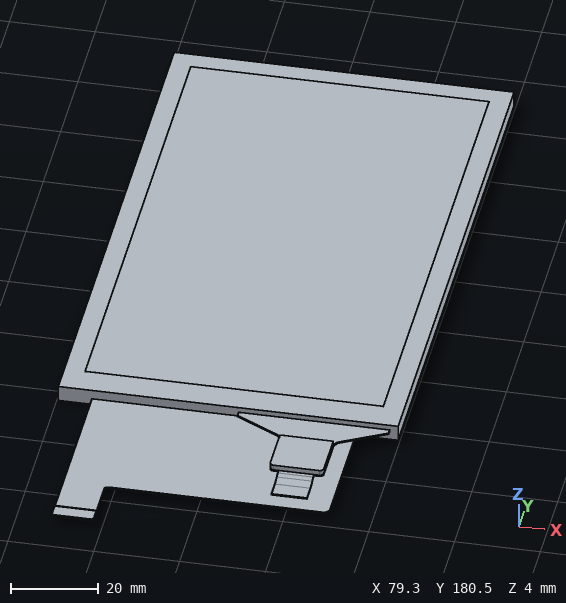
import cadquery as cq


frame_width = 79.3
frame_length = 134.0
frame_height = 4.0
side_border = 4.9
back_border = 4.9
front_border = 7.0
screen_depth = 0.9
screen_width = frame_width - 2 * side_border
screen_length = frame_length - front_border - back_border

overall_length = 180.5
main_left = -31.8
main_right = 30.2
main_bottom = 1.3
main_thickness = 0.4
main_top = main_bottom + main_thickness
main_reach = 33.2
main_corner_radius = 1.5
tab_width = 9.7
tab_right = main_left + tab_width
tab_reach = overall_length - frame_length
tab_inner_radius = 0.9
tab_corner_radius = 0.5

pad_length = 3.6
pad_thickness = 0.2

touch_center = 20.0
touch_root_width = 35.2
touch_root_length = 1.3
touch_bottom = 2.3
touch_thickness = 0.32
touch_top = touch_bottom + touch_thickness
taper_reach = 7.4
taper_radius = 2.2

chip_width = 12.5
chip_start = 8.7
chip_reach = 20.5
chip_corner_radius = 0.9

tongue_width = 8.3
bend_start = 21.5
bend_middle = 22.7
bend_end = 25.0
tongue_reach = 28.9
bend_drop = touch_bottom - main_top
upper_bend_share = (bend_middle - bend_start) / (bend_end - bend_start)


def block(left, right, front, back, bottom, top):
    """A box given by its limits along X, Y and Z."""
    return (
        cq.Workplane("XY")
        .box(right - left, back - front, top - bottom, centered=False)
        .translate((left, front, bottom))
    )


def round_upright_edge(body, x, y, radius):
    """Fillet the vertical edge of the body nearest to the point (x, y)."""
    middle_height = body.val().Center().z
    return body.edges("|Z").edges(cq.NearestToPointSelector((x, y, middle_height))).fillet(radius)


def make_screen():
    return block(
        -screen_width / 2,
        screen_width / 2,
        front_border,
        front_border + screen_length,
        frame_height - screen_depth,
        frame_height,
    )


def make_frame():
    outer = block(-frame_width / 2, frame_width / 2, 0, frame_length, 0, frame_height)
    return outer.cut(make_screen())


def make_main_circuit():
    outline = [
        (main_left, 0),
        (main_right, 0),
        (main_right, -main_reach),
        (tab_right, -main_reach),
        (tab_right, -tab_reach),
        (main_left, -tab_reach),
    ]
    body = cq.Workplane("XY").workplane(offset=main_bottom).polyline(outline).close().extrude(main_thickness)
    body = round_upright_edge(body, main_right, -main_reach, main_corner_radius)
    body = round_upright_edge(body, tab_right, -main_reach, tab_inner_radius)
    for x in (main_left, tab_right):
        body = round_upright_edge(body, x, -tab_reach, tab_corner_radius)
    return body


def make_contact_pad():
    pad = block(
        main_left, tab_right, -tab_reach, pad_length - tab_reach, main_top, main_top + pad_thickness
    )
    return pad.edges("|Z and <Y").fillet(tab_corner_radius)


def make_touch_plate():
    """The flat part of the touch circuit, up to the front of the chip."""
    half_root = touch_root_width / 2
    half_chip = chip_width / 2
    right_side = [
        (half_root, 0),
        (half_root, -touch_root_length),
        (half_chip, -taper_reach),
        (half_chip, -chip_reach),
    ]
    left_side = [(-x, y) for x, y in reversed(right_side)]
    plate = (
        cq.Workplane("XY", origin=(touch_center, 0, touch_bottom))
        .polyline(right_side + left_side)
        .close()
        .extrude(touch_thickness)
    )
    for x in (touch_center - half_chip, touch_center + half_chip):
        plate = round_upright_edge(plate, x, -taper_reach, taper_radius)
        plate = round_upright_edge(plate, x, -chip_reach, chip_corner_radius)
    return plate


def make_tongue():
    """The bent strip: two tangent curves lead from the flat part down to the foot."""
    middle_drop = bend_drop * upper_bend_share
    middle_top = touch_top - middle_drop
    middle_bottom = touch_bottom - middle_drop
    steepest = (-(bend_middle - bend_start), -2 * middle_drop)
    forward = (-1, 0)
    backward = (1, 0)
    uphill = (-steepest[0], -steepest[1])

    side_profile = (
        cq.Workplane("YZ", origin=(touch_center - tongue_width / 2, 0, 0))
        .moveTo(-chip_start, touch_top)
        .lineTo(-bend_start, touch_top)
        .spline([(-bend_middle, middle_top)], tangents=[forward, steepest], includeCurrent=True)
        .spline([(-bend_end, touch_top - bend_drop)], tangents=[steepest, forward], includeCurrent=True)
        .lineTo(-tongue_reach, touch_top - bend_drop)
        .lineTo(-tongue_reach, main_top)
        .lineTo(-bend_end, main_top)
        .spline([(-bend_middle, middle_bottom)], tangents=[backward, uphill], includeCurrent=True)
        .spline([(-bend_start, touch_bottom)], tangents=[uphill, backward], includeCurrent=True)
        .lineTo(-chip_start, touch_bottom)
        .close()
    )
    return side_profile.extrude(tongue_width)


def make_touch_circuit():
    return make_touch_plate().union(make_tongue())


def make_chip():
    chip = block(
        touch_center - chip_width / 2,
        touch_center + chip_width / 2,
        -chip_reach,
        -chip_start,
        touch_top,
        frame_height,
    )
    return chip.edges("|Z and <Y").fillet(chip_corner_radius)


frame = make_frame()
screen = make_screen()
main_circuit = make_main_circuit()
contact_pad = make_contact_pad()
touch_circuit = make_touch_circuit()
chip = make_chip()

result = cq.Compound.makeCompound(
    [
        frame.val(),
        screen.val(),
        main_circuit.val(),
        contact_pad.val(),
        touch_circuit.val(),
        chip.val(),
    ]
)